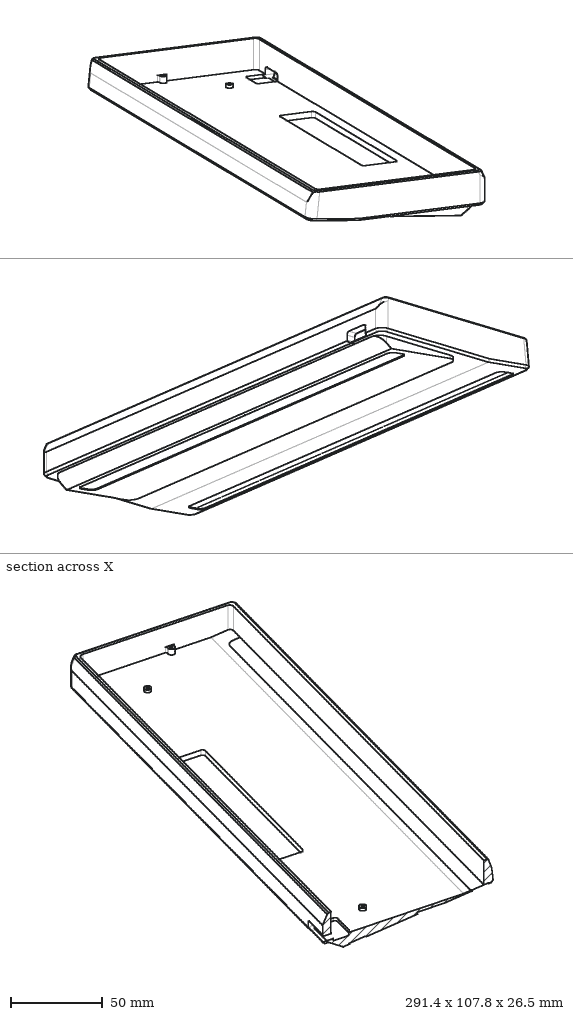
import cadquery as cq
import math

length = 291.4
depth = 107.8
height = 26.5

body_bottom = 6.5
bend_height = 19.5
rim_inset = 3.2
tilt_angle = 6.2
tilt = math.tan(math.radians(tilt_angle))
bottom_crease_y = -23.3
corner_radius = 5.0
rim_corner_radius = 2.5
bottom_chamfer = 1.5
rim_chamfer = 0.73

cavity_length = 286.0
cavity_front = -47.8
cavity_back = 48.5
cavity_radius = 2.3
floor_height = 8.7
floor_crease_y = -35.0

foot_length = 278.0
foot_front = -6.0
foot_back = 50.0
foot_ridge_y = 40.8
foot_radius = 5.5

strip_length = 268.0
strip_width = 11.7
strip_radius = 3.5
strip_depth = 0.5
body_strip_y = -45.7
foot_strip_y = 31.5

pocket_length = 109.5
pocket_width = 21.3
pocket_radius = 1.7
pocket_y = 31.2
pocket_depth = 3.5

port_width = 15.7
port_x = -124.7
port_relief_front = 36.0
port_relief_depth = 2.0
port_radius = 1.7
port_height = 6.5

post_diameter = 4.0
post_hole = 1.63
floor_post_height = 1.7
wall_post_height = 3.8
web_flare = 1.0
post_embed = 0.5
floor_post_x = 117.5
floor_post_y = 19.8
wall_post_x = 141.3
wall_post_y = -9.0

half_depth = depth / 2
cavity_depth = cavity_back - cavity_front
rim_y = half_depth - rim_inset
pocket_floor = floor_height - pocket_depth


def extrude_profile(points, width):
    """Extrude a closed (y, z) outline symmetrically along X."""
    return cq.Workplane("YZ").polyline(points).close().extrude(width / 2, both=True)


def plate(size_x, size_y, radius, bottom, thickness):
    """Centred upright block with rounded vertical corners."""
    block = cq.Workplane("XY").box(size_x, size_y, thickness, centered=(True, True, False))
    return block.edges("|Z").fillet(radius).translate((0, 0, bottom))


def round_end_corners(outline, radius):
    """Round the upright edges at both ends of an outline extruded along X."""
    end_edges = outline.faces("<X or >X").edges().vals()
    corners = [edge for edge in end_edges if abs(edge.tangentAt(0).z) > 0.5]
    return outline.newObject(corners).fillet(radius)


def make_body():
    front_bottom = body_bottom + tilt * (bottom_crease_y + half_depth)
    front_bottom_y = -half_depth - bottom_chamfer * tilt
    front_bend_y = front_bottom_y + tilt * (bend_height - front_bottom)
    front_rim_y = front_bottom_y + tilt * (height - front_bottom)
    lower_outline = extrude_profile(
        [
            (half_depth, body_bottom),
            (half_depth, height),
            (front_rim_y, height),
            (front_bottom_y, front_bottom),
            (bottom_crease_y, body_bottom),
        ],
        length,
    )
    upper_outline = extrude_profile(
        [
            (half_depth, 0),
            (half_depth, bend_height),
            (rim_y, height),
            (-rim_y, height),
            (front_bend_y, bend_height),
            (front_bottom_y, front_bottom),
            (front_bottom_y, 0),
        ],
        length,
    )
    lower_solid = round_end_corners(lower_outline, corner_radius)
    upper_solid = round_end_corners(upper_outline, rim_corner_radius)
    upper_solid = upper_solid.faces(">Z").edges().chamfer(rim_chamfer)
    body = lower_solid.intersect(upper_solid)

    undersides = [face for face in body.faces().vals() if face.normalAt().z < -0.5]
    outer_edges = [
        edge
        for edge in body.newObject(undersides).edges().vals()
        if not (edge.Length() > depth and abs(edge.Center().y - bottom_crease_y) < bottom_chamfer)
    ]
    return body.newObject(outer_edges).chamfer(bottom_chamfer)


def make_cavity():
    cavity_top = height - floor_height
    cavity = plate(cavity_length, cavity_depth, cavity_radius, floor_height, cavity_top)
    cavity = cavity.translate((0, (cavity_front + cavity_back) / 2, 0))
    front = -half_depth
    wedge = extrude_profile(
        [
            (floor_crease_y, floor_height),
            (front, floor_height),
            (front, floor_height + tilt * (floor_crease_y - front)),
        ],
        length,
    )
    return cavity.cut(wedge)


def make_foot():
    top = body_bottom + bottom_chamfer
    block = plate(foot_length, foot_back - foot_front, foot_radius, 0, top)
    block = block.translate((0, (foot_back + foot_front) / 2, 0))
    back_slope = body_bottom / (foot_back - foot_ridge_y)
    wedge = extrude_profile(
        [
            (foot_ridge_y, 0),
            (foot_ridge_y + top / back_slope, top),
            (foot_front, top),
            (foot_front, tilt * (foot_ridge_y - foot_front)),
        ],
        foot_length,
    )
    return block.intersect(wedge)


def make_strip_recess(center_y, plane_y, plane_height):
    """Shallow recess sunk square into an underside that passes through the given (y, z) point."""
    center_height = plane_height - tilt * (center_y - plane_y)
    recess = plate(strip_length, strip_width, strip_radius, -strip_depth, 2 * strip_depth)
    recess = recess.rotate((0, 0, 0), (1, 0, 0), -tilt_angle)
    return recess.translate((0, center_y, center_height))


def make_pocket():
    pocket = plate(pocket_length, pocket_width, pocket_radius, pocket_floor, height)
    return pocket.translate((0, pocket_y, 0))


def make_port():
    port_bottom = floor_height - port_relief_depth
    relief_depth = cavity_back - port_relief_front
    relief = plate(port_width, relief_depth, port_radius, port_bottom, port_height)
    relief = relief.translate((port_x, port_relief_front + relief_depth / 2, 0))
    opening = (
        cq.Workplane("XZ", origin=(port_x, half_depth, port_bottom + port_height / 2))
        .rect(port_width, port_height)
        .extrude(half_depth - port_relief_front - port_radius)
        .edges("|Y")
        .fillet(port_radius)
    )
    return relief.union(opening)


def make_cylinders(points, diameter, bottom, top):
    base = cq.Workplane("XY", origin=(0, 0, bottom))
    return base.pushPoints(points).circle(diameter / 2).extrude(top - bottom)


def make_wall_post():
    """Post beside the +X wall, joined to it by a web that flares at the wall."""
    radius = post_diameter / 2
    wall_x = cavity_length / 2
    flare_x = wall_x - web_flare
    return (
        cq.Workplane("XY", origin=(0, wall_post_y, floor_height))
        .moveTo(wall_x + post_embed, radius + web_flare)
        .lineTo(wall_x, radius + web_flare)
        .radiusArc((flare_x, radius), web_flare)
        .lineTo(wall_post_x, radius)
        .threePointArc((wall_post_x - radius, 0), (wall_post_x, -radius))
        .lineTo(flare_x, -radius)
        .radiusArc((wall_x, -radius - web_flare), web_flare)
        .lineTo(wall_x + post_embed, -radius - web_flare)
        .close()
        .extrude(wall_post_height)
    )


wall_post = make_wall_post()
floor_points = [(-floor_post_x, floor_post_y), (floor_post_x, floor_post_y)]
wall_points = [(-wall_post_x, wall_post_y), (wall_post_x, wall_post_y)]
floor_post_top = floor_height + floor_post_height
wall_post_top = floor_height + wall_post_height

result = (
    make_body()
    .union(make_foot())
    .cut(make_cavity())
    .cut(make_strip_recess(body_strip_y, bottom_crease_y, body_bottom))
    .cut(make_strip_recess(foot_strip_y, foot_ridge_y, 0))
    .cut(make_pocket())
    .cut(make_port())
    .union(make_cylinders(floor_points, post_diameter, floor_height - post_embed, floor_post_top))
    .union(wall_post)
    .union(wall_post.mirror("YZ"))
    .cut(make_cylinders(floor_points, post_hole, floor_height, floor_post_top))
    .cut(make_cylinders(wall_points, post_hole, floor_height, wall_post_top))
)